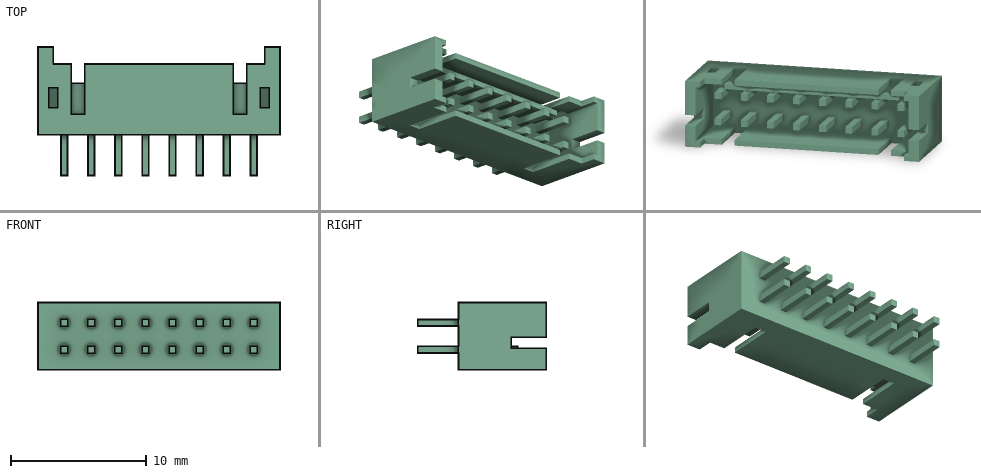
import cadquery as cq

width = 17.9
depth = 6.5
height = 5.0
side_wall = 0.79
skin = 0.43
cavity_depth = 5.0

tip_width = 1.15
setback = 1.25

slot_offset = 2.47
slot_width = 0.98

window_offset = 0.82
window_width = 0.66
window_start = 3.0
window_length = 1.5

side_slot_depth = 2.58
side_slot_bottom = 1.61
side_slot_height = 0.8

shelf_gap = 0.29
shelf_thickness = 0.4
shelf_front = 2.68
shelf_overhang = 0.18

pins_per_row = 8
pin_row_span = 14.0
pin_size = 0.5
pin_row_heights = (1.5, 3.49)
pin_tail = 3.0
pin_tip = 2.1

half_width = width / 2


def box(x_min, x_max, y_min, y_max, z_min, z_max):
    """Axis-aligned block between the given limits."""
    size = (x_max - x_min, y_max - y_min, z_max - z_min)
    return cq.Workplane("XY").box(*size, centered=False).translate((x_min, y_min, z_min))


def with_mirror(shape):
    """The shape together with its mirror image across the mid-plane X = 0."""
    return shape.union(shape.mirror("YZ"))


def make_shell():
    """Outer block hollowed from the mouth down to the base."""
    block = box(-half_width, half_width, 0, depth, 0, height)
    inner = half_width - side_wall
    cavity = box(-inner, inner, depth - cavity_depth, depth, skin, height - skin)
    return block.cut(cavity)


def cut_openings(shell):
    """Mouth setback, key slots, top windows and side slots."""
    inner_tip = half_width - tip_width
    shell = shell.cut(box(-inner_tip, inner_tip, depth - setback, depth, 0, height))

    slot_start = -half_width + slot_offset
    key_slot = box(slot_start, slot_start + slot_width, depth - cavity_depth, depth, 0, height)
    shell = shell.cut(with_mirror(key_slot))

    window_left = -half_width + window_offset
    window_back = depth - window_start
    window = box(
        window_left, window_left + window_width,
        window_back - window_length, window_back,
        height - skin, height,
    )
    shell = shell.cut(with_mirror(window))

    side_slot = box(
        -half_width, half_width,
        depth - side_slot_depth, depth,
        side_slot_bottom, side_slot_bottom + side_slot_height,
    )
    return shell.cut(side_slot)


def make_shelf():
    """Plate standing on the base, reaching past both key slots."""
    reach = half_width - slot_offset + shelf_overhang
    top = height - skin - shelf_gap
    return box(-reach, reach, depth - cavity_depth, depth - shelf_front, top - shelf_thickness, top)


def make_pins():
    """Both rows of pins, running through the base into the cavity."""
    pitch = pin_row_span / (pins_per_row - 1)
    centres = [
        (-pin_row_span / 2 + i * pitch, z)
        for z in pin_row_heights
        for i in range(pins_per_row)
    ]
    pin_length = pin_tail + depth - pin_tip
    return (
        cq.Workplane("XZ", origin=(0, -pin_tail, 0))
        .pushPoints(centres)
        .rect(pin_size, pin_size)
        .extrude(-pin_length)
    )


housing = cut_openings(make_shell())
result = housing.union(make_shelf()).union(make_pins())